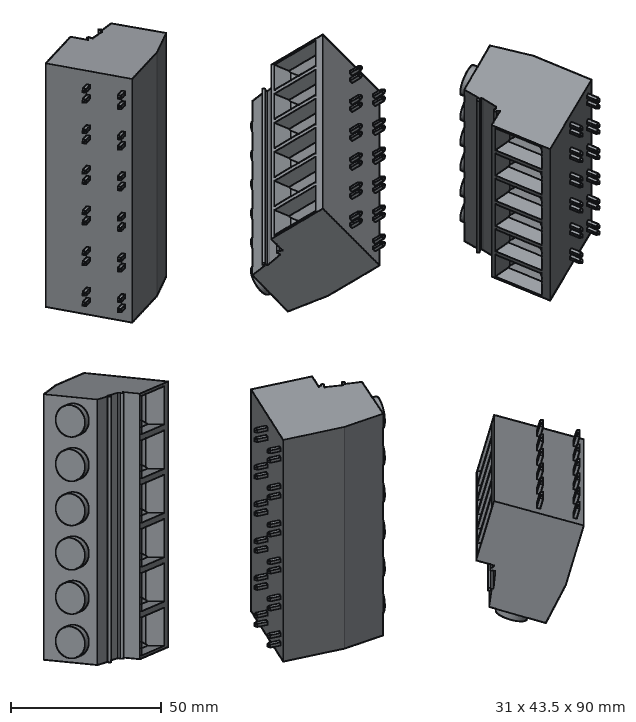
import cadquery as cq

LENGTH = 90.0
POLES = 6
PITCH = LENGTH / POLES
WIDTH = 31.0
STEP_HEIGHT = 21.6
STEP_DEPTH = 6.3
TOP_LEFT = (8.6, 36.0)
TOP_RIGHT = (28.3, 36.3)

RIB_RADIUS = 0.5
NECK_HALF = 0.3
UPPER_RIB = (7.0, 30.1)
LOWER_RIB = (5.85, 23.1)
UPPER_FLANK_FOOT_X = 7.8
NOTCH_X = 8.2
NOTCH_TOP = 29.5
NOTCH_BOTTOM = 28.9
LOWER_FLANK_FOOT_X = 7.2

SCREW_X = 17.1
SCREW_RADIUS = 5.4
SCREW_TOP = 39.1
SCREW_BURIAL = 0.9

ENTRY_Y = 11.6
ENTRY_DEPTH = 7.3
MOUTH_Y = 17.2
MOUTH_Z = 13.0
BEND_Y = 12.2
SIDE_BEND_DEPTH = 5.6
STRAIGHT_DEPTH = 5.0
FLOOR_Y = 8.1
FLOOR_Z = 8.8

PIN_SIZE = 1.3
PIN_TIP_SIZE = 0.6
PIN_LENGTH = 4.4
PIN_TIP_LENGTH = 0.8
PIN_X_POSITIONS = (15.3, 27.9)
PIN_Z_OFFSET = 1.9


def make_rib(center):
    """Round bead along the full length of the body."""
    return cq.Workplane("XY").center(*center).circle(RIB_RADIUS).extrude(LENGTH)


def make_body():
    """Stepped housing with a tapered tower and two ribs along its left flank."""
    upper_x, upper_y = UPPER_RIB
    lower_x, lower_y = LOWER_RIB
    housing = (
        cq.Workplane("XY")
        .moveTo(0, 0)
        .lineTo(WIDTH, 0)
        .lineTo(WIDTH, STEP_HEIGHT)
        .lineTo(*TOP_RIGHT)
        .lineTo(*TOP_LEFT)
        .lineTo(UPPER_FLANK_FOOT_X, upper_y + NECK_HALF)
        .lineTo(upper_x, upper_y + NECK_HALF)
        .lineTo(upper_x, upper_y - NECK_HALF)
        .lineTo(NOTCH_X, NOTCH_TOP)
        .lineTo(NOTCH_X, NOTCH_BOTTOM)
        .lineTo(LOWER_FLANK_FOOT_X, lower_y + NECK_HALF)
        .lineTo(lower_x, lower_y + NECK_HALF)
        .lineTo(lower_x, lower_y - RIB_RADIUS)
        .lineTo(STEP_DEPTH, STEP_HEIGHT)
        .lineTo(0, STEP_HEIGHT)
        .close()
        .extrude(LENGTH)
    )
    return housing.union(make_rib(UPPER_RIB)).union(make_rib(LOWER_RIB))


def make_screw(pole_z):
    """Round screw head standing on the top face."""
    base_y = TOP_LEFT[1] - SCREW_BURIAL
    base = cq.Plane(origin=(SCREW_X, base_y, pole_z), xDir=(1, 0, 0), normal=(0, 1, 0))
    return cq.Workplane(base).circle(SCREW_RADIUS).extrude(SCREW_TOP - base_y)


def make_funnel_prism(plane, stations, thickness):
    """Symmetric prism whose outline has the given (depth, full opening) stations along +X."""
    upper = [(depth, opening / 2) for depth, opening in stations]
    lower = [(depth, -half) for depth, half in reversed(upper)]
    return cq.Workplane(plane).polyline(upper + lower).close().extrude(thickness / 2, both=True)


def make_entry(pole_z):
    """Wire entry cutter: the space common to the side wall and upper/lower wall prisms."""
    side_walls = make_funnel_prism(
        "XY", [(0, MOUTH_Y), (SIDE_BEND_DEPTH, BEND_Y), (ENTRY_DEPTH, FLOOR_Y)], MOUTH_Z
    )
    upper_lower_walls = make_funnel_prism(
        "XZ", [(0, MOUTH_Z), (STRAIGHT_DEPTH, MOUTH_Z), (ENTRY_DEPTH, FLOOR_Z)], MOUTH_Y
    )
    return side_walls.intersect(upper_lower_walls).translate((0, ENTRY_Y, pole_z))


def make_pin(x, z):
    """Square pin with a tapered tip."""
    root = cq.Plane(origin=(x, 0, z), xDir=(1, 0, 0), normal=(0, -1, 0))
    shank_length = PIN_LENGTH - PIN_TIP_LENGTH
    shank = cq.Workplane(root).rect(PIN_SIZE, PIN_SIZE).extrude(shank_length)
    tip = (
        cq.Workplane(root)
        .workplane(offset=shank_length)
        .rect(PIN_SIZE, PIN_SIZE)
        .workplane(offset=PIN_TIP_LENGTH)
        .rect(PIN_TIP_SIZE, PIN_TIP_SIZE)
        .loft(ruled=True)
    )
    return shank.union(tip)


result = make_body()
for pole in range(POLES):
    centre_z = (pole + 0.5) * PITCH
    result = result.union(make_screw(centre_z)).cut(make_entry(centre_z))
    for pin_x in PIN_X_POSITIONS:
        for pin_z in (centre_z - PIN_Z_OFFSET, centre_z + PIN_Z_OFFSET):
            result = result.union(make_pin(pin_x, pin_z))